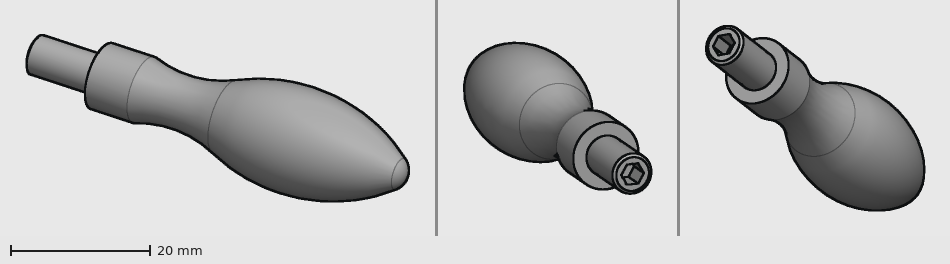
import cadquery as cq
import math

total_length = 61.0
stud_length = 11.0
neck_x = 23.9
belly_x = 42.9
tip_cap_length = 1.15

stud_radius = 3.0
hub_radius = 5.0
neck_radius = 4.0
belly_radius = 8.0
belly_arc_radius = 28.35

chamfer_length = 0.3
chamfer_depth = 0.5
hex_across_flats = 3.0
hex_depth = 4.0

start_x = -total_length / 2
end_x = total_length / 2
hub_start_x = start_x + stud_length
neck_x += start_x
belly_x += start_x
tip_x = end_x - tip_cap_length

neck_to_belly = belly_x - neck_x
rise = belly_radius - neck_radius
arc_radius_sum = (neck_to_belly**2 + rise**2) / (2 * rise)
neck_arc_radius = arc_radius_sum - belly_arc_radius


def neck_arc_height(x):
    """Radius of the grip where the concave neck arc passes x."""
    drop = math.sqrt(neck_arc_radius**2 - (x - neck_x) ** 2)
    return neck_radius + neck_arc_radius - drop


def belly_arc_height(x):
    """Radius of the grip where the convex belly arc passes x."""
    lift = math.sqrt(belly_arc_radius**2 - (x - belly_x) ** 2)
    return belly_radius - belly_arc_radius + lift


hub_rise = hub_radius - neck_radius
hub_end_x = neck_x - math.sqrt(2 * neck_arc_radius * hub_rise - hub_rise**2)
blend_x = neck_x + neck_to_belly * neck_arc_radius / arc_radius_sum

tip_rim_radius = belly_arc_height(tip_x)
tip_sphere_radius = (tip_rim_radius**2 + tip_cap_length**2) / (2 * tip_cap_length)
tip_mid_x = end_x - tip_cap_length / 2
tip_mid_radius = math.sqrt(tip_sphere_radius**2 - (tip_sphere_radius - tip_cap_length / 2) ** 2)


def make_handle():
    """Stud, hub and grip turned from one half profile."""
    profile = (
        cq.Workplane("XY")
        .moveTo(start_x, 0)
        .lineTo(start_x, stud_radius - chamfer_depth)
        .lineTo(start_x + chamfer_length, stud_radius)
        .lineTo(hub_start_x, stud_radius)
        .lineTo(hub_start_x, hub_radius)
        .lineTo(hub_end_x, hub_radius)
        .threePointArc((neck_x, neck_radius), (blend_x, neck_arc_height(blend_x)))
        .threePointArc((belly_x, belly_radius), (tip_x, tip_rim_radius))
        .threePointArc((tip_mid_x, tip_mid_radius), (end_x, 0))
        .close()
    )
    return profile.revolve(360, (0, 0, 0), (1, 0, 0))


def make_hex_socket():
    """Hexagonal key socket in the stud end, with two corners along Y."""
    across_corners = hex_across_flats / math.cos(math.pi / 6)
    return (
        cq.Workplane("YZ", origin=(start_x, 0, 0))
        .polygon(6, across_corners)
        .extrude(hex_depth)
    )


result = make_handle().cut(make_hex_socket())